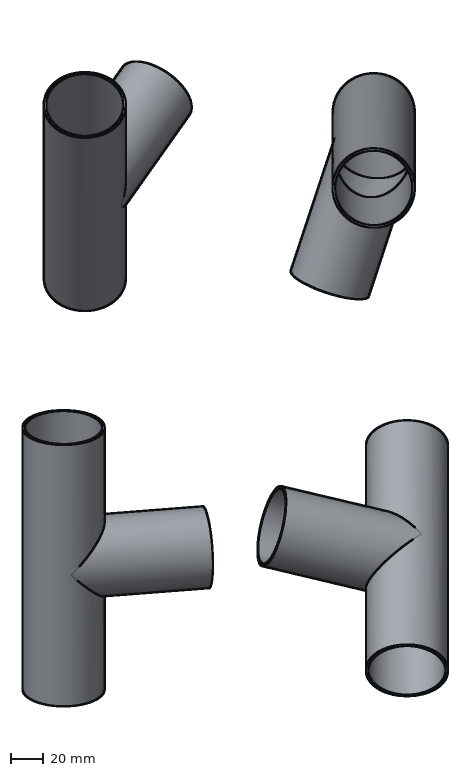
import cadquery as cq

outer_diameter = 50.8
inner_diameter = 47.5
branch_reach = 89.0
run_length = 2 * branch_reach


def run_cylinder(diameter):
    """Vertical cylinder on the Z axis, centred on the origin."""
    return cq.Workplane("XY").circle(diameter / 2).extrude(run_length / 2, both=True)


def branch_cylinder(diameter):
    """Horizontal cylinder from the run axis to the branch end at +Y."""
    return cq.Workplane("XZ").circle(diameter / 2).extrude(-branch_reach)


def tee_body(diameter):
    """Run and branch of one diameter joined into a solid tee."""
    return run_cylinder(diameter).union(branch_cylinder(diameter))


result = tee_body(outer_diameter).cut(tee_body(inner_diameter))